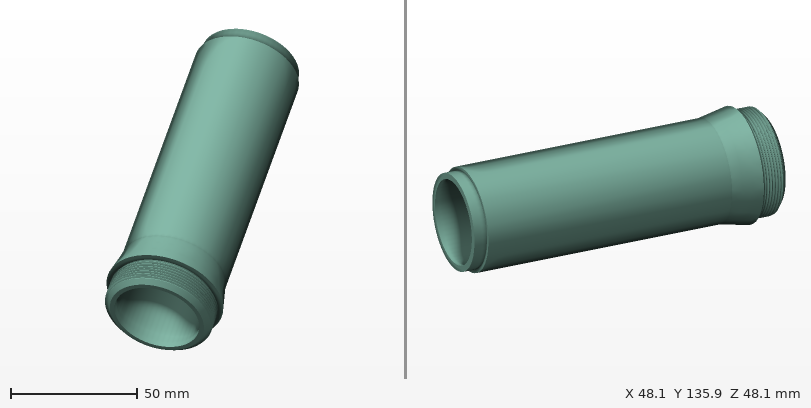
import cadquery as cq

TOTAL_LENGTH = 135.93
BORE_DIAMETER = 35.0
BODY_DIAMETER = 43.0
COLLAR_DIAMETER = 48.1

SPIGOT_DIAMETER = 40.0
SPIGOT_LENGTH = 5.4

THREADED_LENGTH = 11.6
COLLAR_LENGTH = 12.7
CHAMFER_LENGTH = 1.7
END_FACE_DIAMETER = 38.8

THREAD_DIAMETER = 44.3
THREAD_DEPTH = 0.8
THREAD_PITCH = 1.25
THREAD_TURNS = 8
THREAD_ROOT_WIDTH = 1.1
THREAD_CREST_WIDTH = 0.15
THREAD_EMBED = 0.1
THREAD_SETBACK = 0.1

bore_radius = BORE_DIAMETER / 2
body_radius = BODY_DIAMETER / 2
collar_radius = COLLAR_DIAMETER / 2
spigot_radius = SPIGOT_DIAMETER / 2
end_face_radius = END_FACE_DIAMETER / 2
thread_radius = THREAD_DIAMETER / 2
core_radius = thread_radius - THREAD_DEPTH

chamfer_taper = (core_radius - end_face_radius) / CHAMFER_LENGTH

collar_start = THREADED_LENGTH
collar_end = collar_start + COLLAR_LENGTH
spigot_start = TOTAL_LENGTH - SPIGOT_LENGTH


def revolve_about_y(points):
    """Revolve a closed (radius, Y) outline about the tube axis."""
    return cq.Workplane("XY").polyline(points).close().revolve(360, (0, 0), (0, 1))


def make_tube():
    """Bored tube with chamfered threaded core, flared collar, body and spigot."""
    return revolve_about_y([
        (bore_radius, 0),
        (end_face_radius, 0),
        (core_radius, CHAMFER_LENGTH),
        (core_radius, collar_start),
        (collar_radius, collar_start),
        (body_radius, collar_end),
        (body_radius, spigot_start),
        (spigot_radius, spigot_start),
        (spigot_radius, TOTAL_LENGTH),
        (bore_radius, TOTAL_LENGTH),
    ])


def make_thread_envelope():
    """Solid that trims the thread to the end chamfer, carried out past the crests."""
    cone_end = (collar_radius - end_face_radius) / chamfer_taper
    return revolve_about_y([
        (0, 0),
        (end_face_radius, 0),
        (collar_radius, cone_end),
        (collar_radius, collar_start),
        (0, collar_start),
    ])


def make_thread():
    """Helical ridge of whole turns with its ends on the -X side, trimmed at the chamfer."""
    height = THREAD_TURNS * THREAD_PITCH
    start = collar_start - THREAD_SETBACK - THREAD_ROOT_WIDTH / 2 - height
    base_radius = core_radius - THREAD_EMBED
    helix = cq.Wire.makeHelix(THREAD_PITCH, height, base_radius)
    section = cq.Workplane("XZ").polyline([
        (base_radius, -THREAD_ROOT_WIDTH / 2),
        (thread_radius, -THREAD_CREST_WIDTH / 2),
        (thread_radius, THREAD_CREST_WIDTH / 2),
        (base_radius, THREAD_ROOT_WIDTH / 2),
    ]).close()
    ridge = section.sweep(cq.Workplane(helix), isFrenet=True)
    ridge = (
        ridge
        .rotate((0, 0, 0), (0, 0, 1), 180)
        .rotate((0, 0, 0), (1, 0, 0), -90)
        .translate((0, start, 0))
    )
    return ridge.intersect(make_thread_envelope())


result = make_tube().union(make_thread())